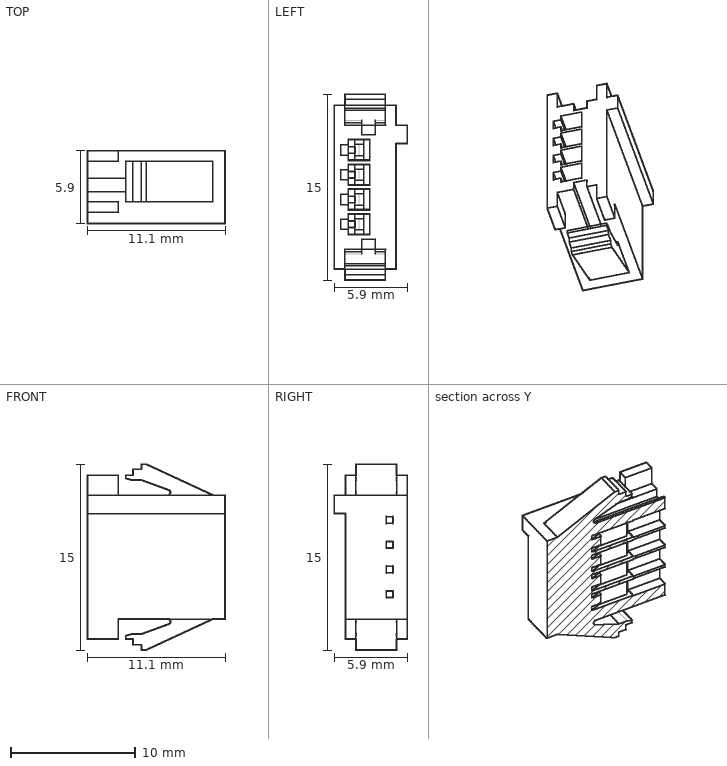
import cadquery as cq
import math

length = 11.1
width = 5.0
height = 10.0
total_height = 15.0
top = height / 2

flange_reach = 0.9
flange_height = 1.5

ear_length = 2.49
ear_height = 1.6
ear_width = 0.85

latch_near_y = ear_width
latch_far_y = width - ear_width
latch_width = latch_far_y - latch_near_y
latch_height = (total_height - height) / 2
latch_tip_x = 3.09
latch_step_xs = (3.68, 4.35)
latch_step_height = 2.08
latch_crest_x = 4.74
latch_root_x = 10.12
latch_lip_height = 1.34
latch_under_start_x = 3.58
latch_under_height = 1.2
gap_end_x = 6.57
gap_end_height = 0.39
gap_bulge = 0.14
gap_arc_bulge = 0.1
gap_mid_height = gap_end_height / 2

groove_width = 1.11
groove_depth = 0.78
groove_near_y = 1.66
groove_far_y = groove_near_y + groove_width
underside_slope = (latch_under_height - gap_end_height) / (gap_end_x - latch_step_xs[1])
groove_end_x = gap_end_x + gap_end_height / underside_slope

cavity_count = 4
pitch = 2.0
mouth_height = 1.71
cavity_height = 1.62
cavity_far_y = 3.84
cavity_near_y = 2.12
cavity_inner_y = 2.61
channel_near_y = 3.32
mouth_depth = 3.0
mouth_angle = 50.0
ramp_angle = 22.0
lance_x = 6.0
lance_height = 0.92
lance_round = 0.28
window_height = 0.51
funnel_angle = 38.0
notch_width = 0.63
notch_height = 0.82
notch_depth = 5.0


def box(x, y, z, dx, dy, dz):
    """Box from its lowest corner and its sizes."""
    return cq.Workplane("XY").box(dx, dy, dz, centered=False).translate((x, y, z))


def run_for(rise, angle):
    """Length of a ramp that climbs the given rise at an angle in degrees."""
    return rise / math.tan(math.radians(angle))


def make_ears():
    """Pair of ears standing on the top surface."""
    near_ear = box(0, 0, top, ear_length, ear_width, ear_height)
    return near_ear.union(near_ear.translate((0, latch_far_y, 0)))


def make_latch():
    """Stepped, wedge-shaped latch leaning back over the top surface."""
    first_step_x, second_step_x = latch_step_xs
    profile = (
        cq.Workplane("XZ", origin=(0, latch_far_y, top))
        .moveTo(groove_end_x, 0)
        .lineTo(second_step_x, latch_under_height)
        .lineTo(latch_under_start_x, latch_under_height)
        .lineTo(latch_tip_x, latch_lip_height)
        .lineTo(latch_tip_x, ear_height)
        .lineTo(first_step_x, ear_height)
        .lineTo(first_step_x, latch_step_height)
        .lineTo(second_step_x, latch_step_height)
        .lineTo(second_step_x, latch_height)
        .lineTo(latch_crest_x, latch_height)
        .lineTo(latch_root_x, 0)
        .close()
    )
    return profile.extrude(latch_width)


def make_root_web(near_y, far_y):
    """Web closing the sharp end of the gap under the latch with a rounded face."""
    profile = (
        cq.Workplane("XZ", origin=(0, far_y, top))
        .moveTo(gap_end_x, 0)
        .lineTo(gap_end_x + gap_bulge, gap_mid_height)
        .threePointArc(
            (gap_end_x + gap_arc_bulge, (gap_mid_height + gap_end_height) / 2),
            (gap_end_x, gap_end_height),
        )
        .lineTo(groove_end_x, 0)
        .close()
    )
    return profile.extrude(far_y - near_y)


def make_cavity():
    """Contact cavity centred on Z = 0: mouth, channel, lance, funnel and notch."""
    mouth_end = mouth_depth + run_for(cavity_inner_y - cavity_near_y, mouth_angle)
    lance_end = lance_x + run_for(channel_near_y - cavity_inner_y, ramp_angle)
    funnel_start = length - run_for((cavity_height - window_height) / 2, funnel_angle)
    cavity = (
        cq.Workplane("XY", origin=(0, 0, -cavity_height / 2))
        .moveTo(0, cavity_near_y)
        .lineTo(mouth_depth, cavity_near_y)
        .lineTo(mouth_end, cavity_inner_y)
        .lineTo(lance_x, cavity_inner_y)
        .lineTo(lance_end, channel_near_y)
        .lineTo(funnel_start, channel_near_y)
        .lineTo(funnel_start, cavity_far_y)
        .lineTo(0, cavity_far_y)
        .close()
        .extrude(cavity_height)
    )
    lance = box(
        lance_x, cavity_inner_y, -lance_height / 2,
        lance_end - lance_x, channel_near_y - cavity_inner_y, lance_height,
    )
    lance = lance.edges("|Z and <X and >Y").fillet(lance_round)
    funnel = (
        cq.Workplane("XZ", origin=(0, cavity_far_y, 0))
        .moveTo(funnel_start, -cavity_height / 2)
        .lineTo(length, -window_height / 2)
        .lineTo(length, window_height / 2)
        .lineTo(funnel_start, cavity_height / 2)
        .close()
        .extrude(cavity_far_y - channel_near_y)
    )
    notch = box(0, cavity_far_y, -notch_height / 2, notch_depth, notch_width, notch_height)
    mouth = box(
        0, cavity_near_y, -mouth_height / 2,
        mouth_depth, cavity_far_y - cavity_near_y, mouth_height,
    )
    return cavity.cut(lance).union(mouth).union(funnel).union(notch)


result = box(0, 0, -top, length, width, height)
result = result.union(box(0, -flange_reach, top - flange_height, length, flange_reach, flange_height))

added_features = (
    make_ears(),
    make_latch(),
    make_root_web(latch_near_y, groove_near_y),
    make_root_web(groove_far_y, latch_far_y),
)
for feature in added_features:
    result = result.union(feature).union(feature.mirror("XY"))
groove = box(0, groove_near_y, top - groove_depth, groove_end_x, groove_width, groove_depth)
result = result.cut(groove).cut(groove.mirror("XY"))

for index in range(cavity_count):
    cavity_z = (index - (cavity_count - 1) / 2) * pitch
    result = result.cut(make_cavity().translate((0, 0, cavity_z)))